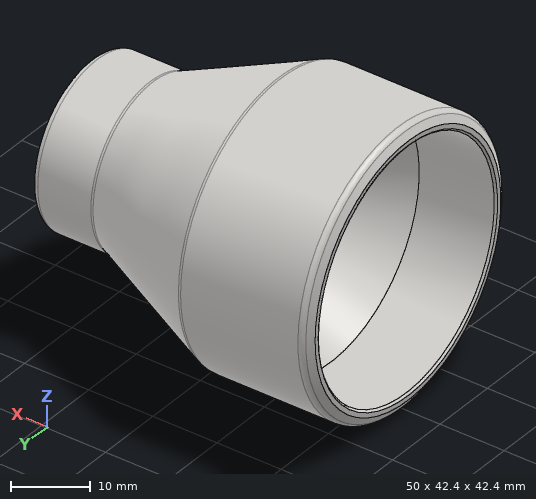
import cadquery as cq
import math

length = 50.0
large_radius = 42.4 / 2
small_radius = 25.0 / 2
large_bore_radius = 37.2 / 2
small_bore_radius = 19.8 / 2

cone_start = 20.0
cone_end = 40.0
mouth_chamfer = 0.3
funnel_start = 12.0
funnel_end = funnel_start + cone_end - cone_start

land = 1.0
bevel_angle = 30.0
blend_radius = 1.0
blend_margin = 0.25


def bevel_depth(outer_radius, land_radius):
    """Axial depth at which the sharp bevel meets the outer cylinder."""
    return (outer_radius - land_radius) * math.tan(math.radians(bevel_angle))


large_land_radius = large_bore_radius + land
small_land_radius = small_bore_radius + land
large_bevel = bevel_depth(large_radius, large_land_radius)
small_bevel = bevel_depth(small_radius, small_land_radius)

blank = (
    cq.Workplane("XY")
    .lineTo(0, large_land_radius)
    .lineTo(large_bevel, large_radius)
    .lineTo(cone_start, large_radius)
    .lineTo(cone_end, small_radius)
    .lineTo(length - small_bevel, small_radius)
    .lineTo(length, small_land_radius)
    .lineTo(length, 0)
    .close()
    .revolve(360, (0, 0, 0), (1, 0, 0))
)

inner_edges = cq.selectors.BoxSelector(
    (blend_margin, -large_radius, -large_radius),
    (length - blend_margin, large_radius, large_radius),
)
blank = blank.edges("%CIRCLE").edges(inner_edges).fillet(blend_radius)

passage = (
    cq.Workplane("XY")
    .lineTo(0, large_bore_radius + mouth_chamfer)
    .lineTo(mouth_chamfer, large_bore_radius)
    .lineTo(funnel_start, large_bore_radius)
    .lineTo(funnel_end, small_bore_radius)
    .lineTo(length, small_bore_radius)
    .lineTo(length, 0)
    .close()
    .revolve(360, (0, 0, 0), (1, 0, 0))
)

result = blank.cut(passage)